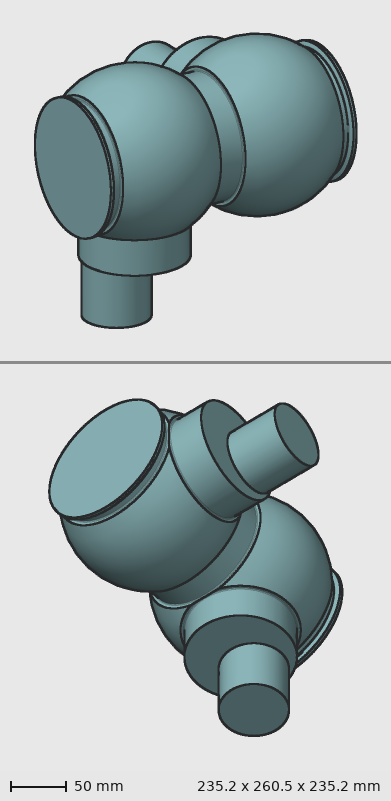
import cadquery as cq
import math

total_length = 260.5
ball_offset = 65.0
ball_radius = 82.5
ball_half_width = 51.8
seat_distance = 62.3
root_fillet = 0.8

neck_radius = 60.2
flange_radius = 65.1
flange_rim = 3.5
flange_thickness = 5.5

branch_reach = 152.7
collar_reach = 98.2
collar_radius = 50.8
stub_radius = 31.8
stub_offset = collar_radius - stub_radius


def ball(center_y, branch_direction):
    """Ball with flat ends along Y and a flat seat facing its branch."""
    edge_radius = math.sqrt(ball_radius**2 - ball_half_width**2)
    profile = (
        cq.Workplane("XY")
        .moveTo(0, -ball_half_width)
        .lineTo(edge_radius, -ball_half_width)
        .threePointArc((ball_radius, 0), (edge_radius, ball_half_width))
        .lineTo(0, ball_half_width)
        .close()
    )
    size = 2 * ball_radius
    envelope = cq.Workplane("XY").box(size, size, size)
    envelope = envelope.translate(branch_direction * (seat_distance - ball_radius))
    truncated = profile.revolve(360, (0, 0, 0), (0, 1, 0))
    return truncated.intersect(envelope).translate((0, center_y, 0))


def branch(center_y, direction):
    """Collar and eccentric stub pointing away from a ball centre."""
    center = cq.Vector(0, center_y, 0)
    stub_center = center - cq.Vector(0, stub_offset, 0)
    collar = cq.Solid.makeCylinder(collar_radius, collar_reach, center, direction)
    stub = cq.Solid.makeCylinder(stub_radius, branch_reach, stub_center, direction)
    return cq.Workplane(collar).union(cq.Workplane(stub))


def spindle():
    """Neck running through both balls, with a bevel-backed flange at each end."""
    end = total_length / 2
    rim_back = end - flange_rim
    flange_back = end - flange_thickness
    profile = (
        cq.Workplane("XY")
        .moveTo(0, -end)
        .lineTo(flange_radius, -end)
        .lineTo(flange_radius, -rim_back)
        .lineTo(neck_radius, -flange_back)
        .lineTo(neck_radius, flange_back)
        .lineTo(flange_radius, rim_back)
        .lineTo(flange_radius, end)
        .lineTo(0, end)
        .close()
    )
    return profile.revolve(360, (0, 0, 0), (0, 1, 0))


def is_root_edge(edge):
    """True for the circles where the neck or a collar meets a larger body."""
    if edge.geomType() != "CIRCLE":
        return False
    tolerance = 0.003
    on_neck = abs(edge.radius() - neck_radius) < tolerance
    on_collar = abs(edge.radius() - collar_radius) < tolerance
    center = edge.arcCenter()
    on_seat = abs(max(-center.x, -center.z) - seat_distance) < tolerance
    return on_neck or (on_collar and on_seat)


branches = (
    (-ball_offset, cq.Vector(0, 0, -1)),
    (ball_offset, cq.Vector(-1, 0, 0)),
)

result = spindle()
for center_y, direction in branches:
    result = result.union(ball(center_y, direction))
    result = result.union(branch(center_y, direction))

result = result.edges().filter(is_root_edge).fillet(root_fillet)